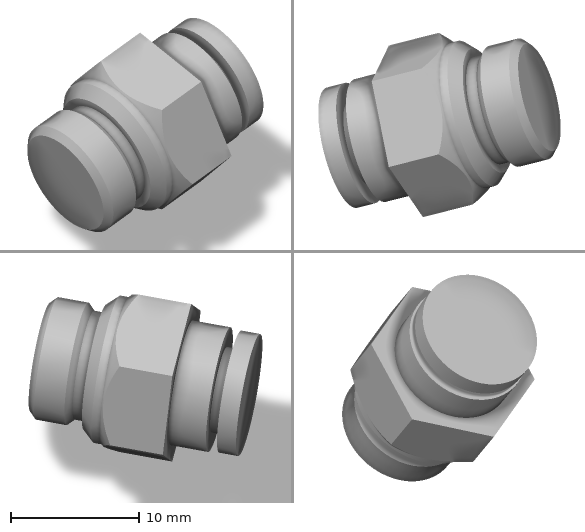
import cadquery as cq
import math

total_length = 16.7
hex_across_flats = 12.0
hex_across_corners = hex_across_flats / math.cos(math.radians(30))

thread_diameter = 9.74
thread_relief_diameter = 8.65
collar_diameter = 11.7
collar_face_diameter = 10.0
body_diameter = 9.9
sleeve_neck_diameter = 6.8
sleeve_flange_diameter = 9.7

thread_end = 2.97
collar_start = 4.41
collar_chamfer_end = 5.35
hex_start = 6.01
hex_end = 11.3
body_end = 14.31
flange_start = 15.18

thread_chamfer = (thread_diameter - thread_relief_diameter) / 2
hex_chamfer = (hex_across_corners - collar_diameter) / 2


def make_turned_core():
    """Revolve the stepped profile, given as radius and axial position."""
    thread_radius = thread_diameter / 2
    relief_radius = thread_relief_diameter / 2
    collar_radius = collar_diameter / 2
    body_radius = body_diameter / 2
    neck_radius = sleeve_neck_diameter / 2
    flange_radius = sleeve_flange_diameter / 2
    profile = [
        (0, 0),
        (thread_radius - thread_chamfer, 0),
        (thread_radius, thread_chamfer),
        (thread_radius, thread_end),
        (relief_radius, thread_end + thread_chamfer),
        (relief_radius, collar_start),
        (collar_face_diameter / 2, collar_start),
        (collar_radius, collar_chamfer_end),
        (collar_radius, hex_start),
        (body_radius, hex_start),
        (body_radius, body_end),
        (neck_radius, body_end),
        (neck_radius, flange_start),
        (flange_radius, flange_start),
        (flange_radius, total_length),
        (0, total_length),
    ]
    return cq.Workplane("XY").polyline(profile).close().revolve(360, (0, 0), (0, 1))


def make_hex():
    """Hexagon with corners on X, its corners turned off by a 45 degree cone."""
    prism = (
        cq.Workplane("XZ", origin=(0, hex_start, 0))
        .polygon(6, hex_across_corners)
        .extrude(hex_start - hex_end)
    )
    corner_radius = hex_across_corners / 2
    envelope_profile = [
        (0, hex_start),
        (collar_diameter / 2, hex_start),
        (corner_radius, hex_start + hex_chamfer),
        (corner_radius, hex_end),
        (0, hex_end),
    ]
    envelope = cq.Workplane("XY").polyline(envelope_profile).close().revolve(360, (0, 0), (0, 1))
    return prism.intersect(envelope)


result = make_turned_core().union(make_hex())